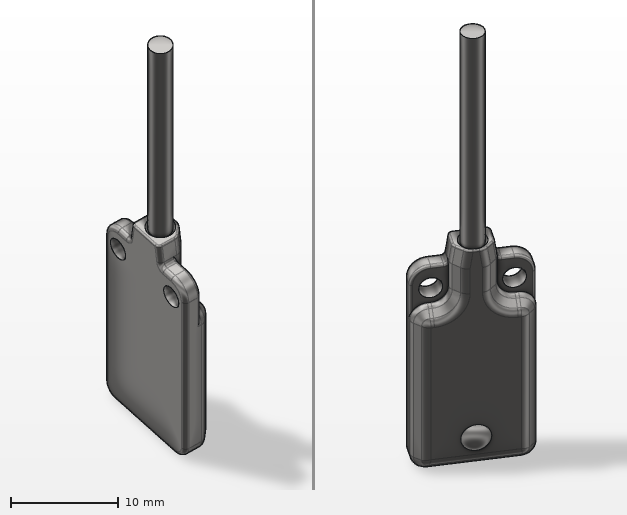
import cadquery as cq
import math

total_length = 49.25
half_width = 6.0
body_depth = 3.55
shoulder_z = 22.8
shoulder_radius = 2.0
bottom_radius = 1.55
front_edge_radius = 0.5

neck_top_z = 25.2
neck_top_half_width = 2.0
neck_base_half_width = 2.3
neck_root_radius = 0.45
neck_end_radius = 0.2
neck_base_z = shoulder_z + neck_root_radius

ear_depth = 1.85
ear_edge_radius = 0.3
hole_x = 4.0
hole_z = 20.3
hole_radius = 1.15
ear_pocket_radius = hole_x - neck_base_half_width
ear_floor_z = hole_z - ear_pocket_radius
housing_corner_radius = 1.65

bevel = 1.25
bevel_edge_radius = 0.8
back_edge_radius = 1.2

dome_z = 3.65
dome_height = 0.85
dome_base_radius = 1.5
dome_sphere_radius = (dome_base_radius**2 + dome_height**2) / (2 * dome_height)

cable_radius = 1.2
cable_y = 1.85
countersink_width = 0.25

diagonal = math.sqrt(0.5)


def start_outline():
    """Right half of the lower outline, from the bottom centre to the end of the corner arc."""
    corner_x = half_width - bottom_radius
    return (
        cq.Workplane("XZ")
        .moveTo(0, 0)
        .lineTo(corner_x, 0)
        .threePointArc(
            (corner_x + bottom_radius * diagonal, bottom_radius * (1 - diagonal)),
            (half_width, bottom_radius),
        )
    )


def extrude_both_halves(half_outline, depth):
    """Close the right half on the neck end, mirror it in X and extrude it towards +Y."""
    return (
        half_outline.lineTo(neck_top_half_width, neck_top_z)
        .lineTo(0, neck_top_z)
        .mirrorY()
        .extrude(-depth)
    )


def make_ear_plate():
    """Thin plate over the full outline, rounded along its back edge."""
    arc_x = half_width - shoulder_radius
    arc_z = shoulder_z - shoulder_radius
    root_x = neck_base_half_width + neck_root_radius
    outline = (
        start_outline()
        .lineTo(half_width, arc_z)
        .threePointArc(
            (arc_x + shoulder_radius * diagonal, arc_z + shoulder_radius * diagonal),
            (arc_x, shoulder_z),
        )
        .lineTo(root_x, shoulder_z)
        .threePointArc(
            (root_x - neck_root_radius * diagonal, neck_base_z - neck_root_radius * diagonal),
            (neck_base_half_width, neck_base_z),
        )
    )
    plate = extrude_both_halves(outline, ear_depth)
    return plate.faces(">Y").edges().fillet(ear_edge_radius)


def make_housing():
    """Full-depth housing that curves around the screw ears, bevelled and rounded along its back."""
    corner_x = half_width - housing_corner_radius
    corner_z = ear_floor_z - housing_corner_radius
    outline = (
        start_outline()
        .lineTo(half_width, corner_z)
        .threePointArc(
            (corner_x + housing_corner_radius * diagonal, corner_z + housing_corner_radius * diagonal),
            (corner_x, ear_floor_z),
        )
        .lineTo(hole_x, ear_floor_z)
        .threePointArc(
            (hole_x - ear_pocket_radius * diagonal, hole_z - ear_pocket_radius * diagonal),
            (neck_base_half_width, hole_z),
        )
        .lineTo(neck_base_half_width, neck_base_z)
    )
    housing = extrude_both_halves(outline, body_depth)
    housing = housing.faces(">Y").edges("not >Z").chamfer(bevel)
    bevel_start = body_depth - bevel
    margin = 0.05
    lower_edges = cq.selectors.BoxSelector(
        (-half_width - margin, bevel_start - margin, -margin),
        (half_width + margin, bevel_start + margin, neck_top_z - margin),
    )
    housing = housing.edges(lower_edges).fillet(bevel_edge_radius)
    return housing.faces(">Y").edges("not >Z").fillet(back_edge_radius)


def make_dome():
    """Spherical cap standing on the back face."""
    centre_y = body_depth + dome_height - dome_sphere_radius
    return cq.Workplane("XY").sphere(dome_sphere_radius).translate((0, centre_y, dome_z))


def make_cable():
    start_z = neck_top_z - countersink_width
    return (
        cq.Workplane("XY", origin=(0, cable_y, start_z))
        .circle(cable_radius)
        .extrude(total_length - start_z)
    )


def make_countersink():
    """Cone that opens towards the neck end around the cable."""
    mouth_radius = cable_radius + countersink_width
    return cq.Workplane(
        cq.Solid.makeCone(
            mouth_radius,
            cable_radius,
            countersink_width,
            pnt=cq.Vector(0, cable_y, neck_top_z),
            dir=cq.Vector(0, 0, -1),
        )
    )


def make_screw_holes():
    return (
        cq.Workplane("XZ")
        .pushPoints([(-hole_x, hole_z), (hole_x, hole_z)])
        .circle(hole_radius)
        .extrude(-body_depth)
    )


body = make_housing().union(make_ear_plate()).clean()
body = body.faces("<Y").edges("not >Z").fillet(front_edge_radius)
body = body.faces(">Z").edges().fillet(neck_end_radius)
body = body.union(make_dome())
body = body.cut(make_screw_holes()).cut(make_countersink())
result = body.union(make_cable())